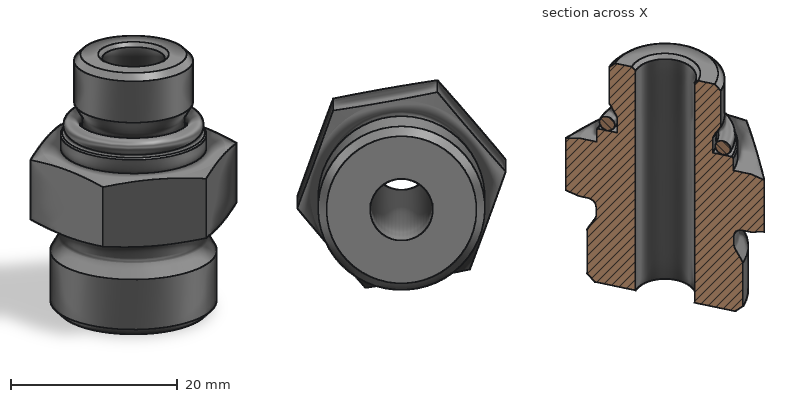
import cadquery as cq
import math

height = 32.5

hex_across_flats = 22.0
hex_bottom_z = 12.0
hex_top_z = 20.5
hex_bevel_angle = 15.0

lower_thread_diameter = 20.0
lower_neck_diameter = 17.7
lower_thread_top_z = 7.4
lower_end_chamfer = 1.0

upper_thread_diameter = 14.3
upper_neck_diameter = 12.25
upper_thread_bottom_z = 26.42
upper_end_chamfer = 0.78

collar_diameter = 17.5
collar_top_z = 22.45
collar_chamfer = 0.2

runout_angle = 30.0
neck_fillet = 1.0

bore_diameter = 7.5
bore_chamfer = 0.5

ring_outer_diameter = 16.85
ring_section_diameter = 2.0


def vertical_cylinder(diameter, bottom_z, top_z):
    return cq.Workplane("XY").workplane(offset=bottom_z).circle(diameter / 2).extrude(top_z - bottom_z)


def runout_cutter(thread_diameter, neck_diameter, thread_end_z, shoulder_z, shoulder_fillet):
    """Ring-shaped relief from the end of a thread to a shoulder.

    The conical run-out blends into the neck with a tangent arc.  With a
    shoulder fillet, the neck also curves outward to meet the shoulder.
    """
    toward_shoulder = math.copysign(1, shoulder_z - thread_end_z)
    angle = math.radians(runout_angle)
    half_angle = angle / 2
    neck_radius = neck_diameter / 2
    thread_radius = thread_diameter / 2

    blend_start_radius = neck_radius + neck_fillet * (1 - math.cos(angle))
    blend_mid_radius = neck_radius + neck_fillet * (1 - math.cos(half_angle))
    cone_length = (thread_radius - blend_start_radius) / math.tan(angle)
    blend_start_z = thread_end_z + toward_shoulder * cone_length
    blend_end_z = blend_start_z + toward_shoulder * neck_fillet * math.sin(angle)
    blend_mid_z = blend_end_z - toward_shoulder * neck_fillet * math.sin(half_angle)

    outline = (
        cq.Workplane("XZ")
        .moveTo(thread_radius, thread_end_z)
        .lineTo(blend_start_radius, blend_start_z)
        .threePointArc((blend_mid_radius, blend_mid_z), (neck_radius, blend_end_z))
        .lineTo(neck_radius, shoulder_z - toward_shoulder * shoulder_fillet)
    )
    if shoulder_fillet > 0:
        arc_offset = shoulder_fillet * (1 - math.sqrt(0.5))
        outline = outline.threePointArc(
            (neck_radius + arc_offset, shoulder_z - toward_shoulder * arc_offset),
            (neck_radius + shoulder_fillet, shoulder_z),
        )
    outer_radius = hex_across_flats / 2
    outline = outline.lineTo(outer_radius, shoulder_z).lineTo(outer_radius, thread_end_z).close()
    return outline.revolve(360, (0, 0, 0), (0, 1, 0))


def make_hexagon():
    """Hexagon with corners on the Y axis and conical bevels at both ends."""
    corner_diameter = hex_across_flats / math.cos(math.radians(30))
    prism = (
        cq.Workplane("XY")
        .workplane(offset=hex_bottom_z)
        .polygon(6, corner_diameter)
        .extrude(hex_top_z - hex_bottom_z)
        .rotate((0, 0, 0), (0, 0, 1), 30)
    )
    bevel_width = (corner_diameter - hex_across_flats) / 2
    bevel_height = bevel_width * math.tan(math.radians(hex_bevel_angle))
    flat_radius = hex_across_flats / 2
    corner_radius = corner_diameter / 2
    bevel_envelope = (
        cq.Workplane("XZ")
        .moveTo(0, hex_bottom_z)
        .lineTo(flat_radius, hex_bottom_z)
        .lineTo(corner_radius, hex_bottom_z + bevel_height)
        .lineTo(corner_radius, hex_top_z - bevel_height)
        .lineTo(flat_radius, hex_top_z)
        .lineTo(0, hex_top_z)
        .close()
        .revolve(360, (0, 0, 0), (0, 1, 0))
    )
    return prism.intersect(bevel_envelope)


def make_fitting():
    lower_end = (
        vertical_cylinder(lower_thread_diameter, 0, hex_bottom_z)
        .faces("<Z")
        .chamfer(lower_end_chamfer)
        .cut(
            runout_cutter(
                lower_thread_diameter, lower_neck_diameter, lower_thread_top_z, hex_bottom_z, neck_fillet
            )
        )
    )
    collar = vertical_cylinder(collar_diameter, hex_top_z, collar_top_z).faces(">Z").chamfer(collar_chamfer)
    upper_end = (
        vertical_cylinder(upper_thread_diameter, collar_top_z, height)
        .faces(">Z")
        .chamfer(upper_end_chamfer)
        .cut(
            runout_cutter(
                upper_thread_diameter, upper_neck_diameter, upper_thread_bottom_z, collar_top_z, 0
            )
        )
    )
    bore = vertical_cylinder(bore_diameter, 0, height)
    body = lower_end.union(make_hexagon()).union(collar).union(upper_end).cut(bore)
    return body.faces(">Z").edges("%CIRCLE").edges(cq.selectors.RadiusNthSelector(0)).chamfer(bore_chamfer)


def make_sealing_ring():
    """Round-section ring lying on top of the collar."""
    section_radius = ring_section_diameter / 2
    center_radius = ring_outer_diameter / 2 - section_radius
    return cq.Workplane("XY").add(
        cq.Solid.makeTorus(center_radius, section_radius, cq.Vector(0, 0, collar_top_z + section_radius))
    )


fitting = make_fitting()
sealing_ring = make_sealing_ring()

result = cq.Compound.makeCompound([fitting.val(), sealing_ring.val()])